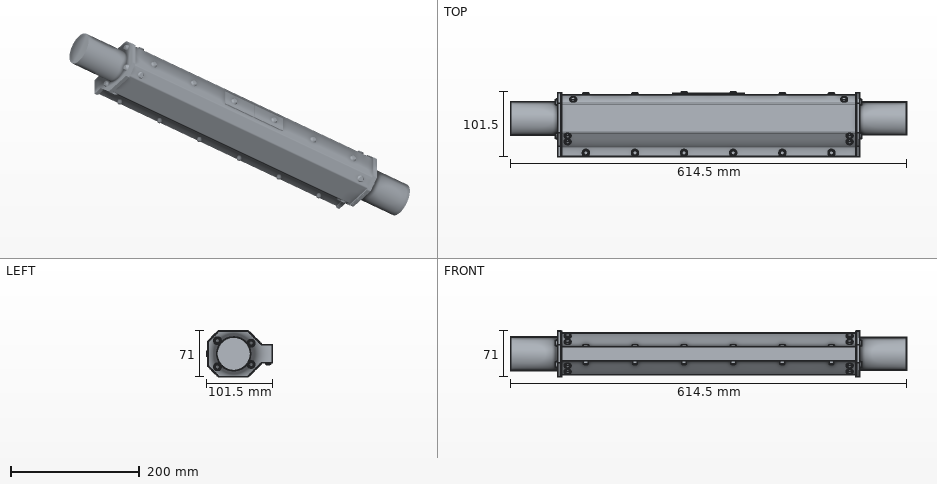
import cadquery as cq
total_length = 614.5
total_depth = 101.5

plates_half_length = 234.0
plate_thickness = 4.0
plate_back = 49.0
plate_half_height = 35.5
plate_top_back = 32.5
plate_top_front = -13.0
plate_tail_half_height = 14.0

gasket_thickness = 2.0
gasket_inset = 0.3

housing_inset = 3.0
housing_front_inset = 0.5
bend_radius = 3.0
root_bend_radius = 2.0

stub_centre_y = 9.0
left_stub_diameter = 52.0
right_stub_diameter = 51.0

head_base = 10.5
head_top = 7.5
head_height = 3.0
slope_head_height = 2.5
end_head_base = 11.0
end_head_height = 3.5
sink = 1.0

row_count = 6
row_pitch = 76.0
tail_screw_y = -44.0
tail_pin_diameter = 7.5
tail_pin_drop = 6.0
tail_pin_chamfer = 2.0

cover_length = 54.5
cover_height = 24.5
cover_thickness = 2.0
cover_gap = 1.0

slope_screw_x = 219.0
slope_screw_ys = (-18.0, -27.0)
back_slope_screw_x = 210.0
back_slope_screw_y = 39.0

end_screws = ((34.5, 20.0), (-18.0, 16.5))

tail_front = -total_depth / 2
plate_inner_x = plates_half_length - plate_thickness
housing_half_length = plate_inner_x - gasket_thickness
housing_back = plate_back - housing_inset
back_head_height = total_depth / 2 - housing_back - cover_thickness
housing_half_height = plate_half_height - housing_inset
tail_half_height = plate_tail_half_height - housing_inset
tail_root_y = plate_top_front - (plate_half_height - plate_tail_half_height)
row_xs = [(i - (row_count - 1) / 2) * row_pitch for i in range(row_count)]


def prism(inset, front_inset, x_start, x_end):
    """Octagon with a tail, symmetric about Z = 0, extruded along X; the slopes are at 45 degrees."""
    half_height = plate_half_height - inset
    tail_half = plate_tail_half_height - inset
    back = plate_back - inset
    back_corner_z = half_height - (back - plate_top_back)
    upper = [
        (back, back_corner_z),
        (plate_top_back, half_height),
        (plate_top_front, half_height),
        (tail_root_y, tail_half),
        (tail_front + front_inset, tail_half),
    ]
    lower = [(y, -z) for y, z in reversed(upper)]
    outline = cq.Workplane("YZ", origin=(x_start, 0, 0)).polyline(upper + lower).close()
    return outline.extrude(x_end - x_start)


def screw_head(point, direction, base=head_base, height=head_height):
    """Conical head standing on a face at the point, on a short shank set into the face."""
    plane = cq.Plane(origin=point, normal=direction)
    shank = cq.Workplane(plane).circle(base / 2).extrude(-sink)
    cone = cq.Workplane(plane).circle(base / 2).workplane(offset=height).circle(head_top / 2).loft()
    return shank.union(cone)


def stub(diameter, side):
    """Round stub from the housing end out to the end of the part."""
    start = cq.Workplane("YZ", origin=(side * housing_half_length, stub_centre_y, 0))
    return start.circle(diameter / 2).extrude(side * (total_length / 2 - housing_half_length))


result = prism(housing_inset, housing_front_inset, -housing_half_length, housing_half_length)
for bent_face in (">Z", "<Z", ">Y"):
    result = result.faces(bent_face).edges("|X").fillet(bend_radius)
for level in (-1, 1):
    tail_root = (0, tail_root_y, level * tail_half_height)
    result = result.edges(cq.selectors.NearestToPointSelector(tail_root)).fillet(root_bend_radius)
for side in (-1, 1):
    gasket = prism(gasket_inset, gasket_inset, side * housing_half_length, side * plate_inner_x)
    end_plate = prism(0, 0, side * plate_inner_x, side * plates_half_length)
    result = result.union(gasket).union(end_plate)
result = result.union(stub(left_stub_diameter, -1)).union(stub(right_stub_diameter, 1))

for side in (-1, 1):
    cover = cq.Workplane("XY").box(cover_length, cover_thickness + sink, cover_height)
    cover_x = side * (cover_length + cover_gap) / 2
    result = result.union(cover.translate((cover_x, housing_back + (cover_thickness - sink) / 2, 0)))

covers_reach = cover_length + cover_gap / 2
for x in row_xs:
    seat = housing_back + (cover_thickness if abs(x) < covers_reach else 0)
    result = result.union(screw_head((x, seat, 0), (0, 1, 0), height=back_head_height))

for x in row_xs:
    result = result.union(screw_head((x, tail_screw_y, tail_half_height), (0, 0, 1)))
    pin = cq.Workplane("XY", origin=(x, tail_screw_y, 0)).circle(tail_pin_diameter / 2)
    pin = pin.extrude(-tail_half_height - tail_pin_drop).faces("<Z").chamfer(tail_pin_chamfer)
    result = result.union(pin)

for end in (-1, 1):
    for level in (-1, 1):
        for y in slope_screw_ys:
            z = housing_half_height - (plate_top_front - y)
            point = (end * slope_screw_x, y, level * z)
            result = result.union(screw_head(point, (0, -1, level), height=slope_head_height))
        z = housing_half_height - (back_slope_screw_y - plate_top_back)
        point = (end * back_slope_screw_x, back_slope_screw_y, level * z)
        result = result.union(screw_head(point, (0, 1, level), height=slope_head_height))
        for y, z in end_screws:
            point = (end * plates_half_length, y, level * z)
            result = result.union(screw_head(point, (end, 0, 0), end_head_base, end_head_height))